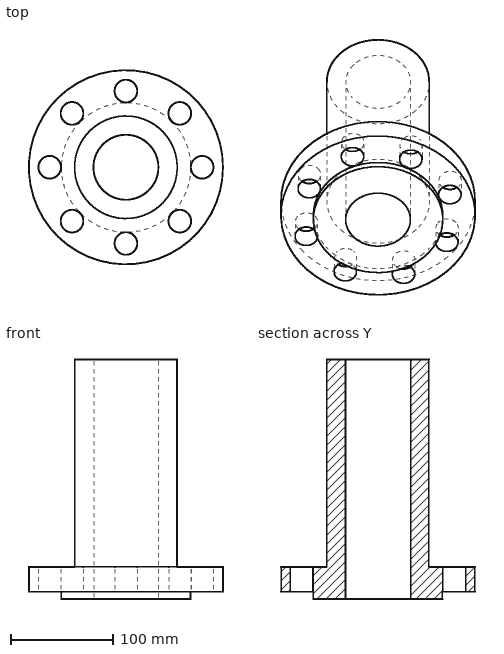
import cadquery as cq

flange_diameter = 190.5
flange_thickness = 24.6

face_diameter = 127.0
face_height = 7.1

overall_height = 234.96
neck_diameter = 100.6
bore_diameter = 63.5

bolt_count = 8
bolt_circle_diameter = 149.4
bolt_hole_diameter = 22.0

flange_top = face_height + flange_thickness
neck_length = overall_height - flange_top


def disc(diameter, bottom, height):
    """Solid cylinder on the Z axis, standing on the level `bottom`."""
    return cq.Workplane("XY").workplane(offset=bottom).circle(diameter / 2).extrude(height)


def bolt_holes():
    """Evenly spaced cutters through the flange, the first one on +X."""
    return (
        cq.Workplane("XY")
        .workplane(offset=face_height)
        .polarArray(bolt_circle_diameter / 2, 0, 360, bolt_count)
        .circle(bolt_hole_diameter / 2)
        .extrude(flange_thickness)
    )


body = disc(face_diameter, 0, face_height)
body = body.union(disc(flange_diameter, face_height, flange_thickness))
body = body.union(disc(neck_diameter, flange_top, neck_length))

bore = disc(bore_diameter, 0, overall_height)
result = body.cut(bore).cut(bolt_holes())